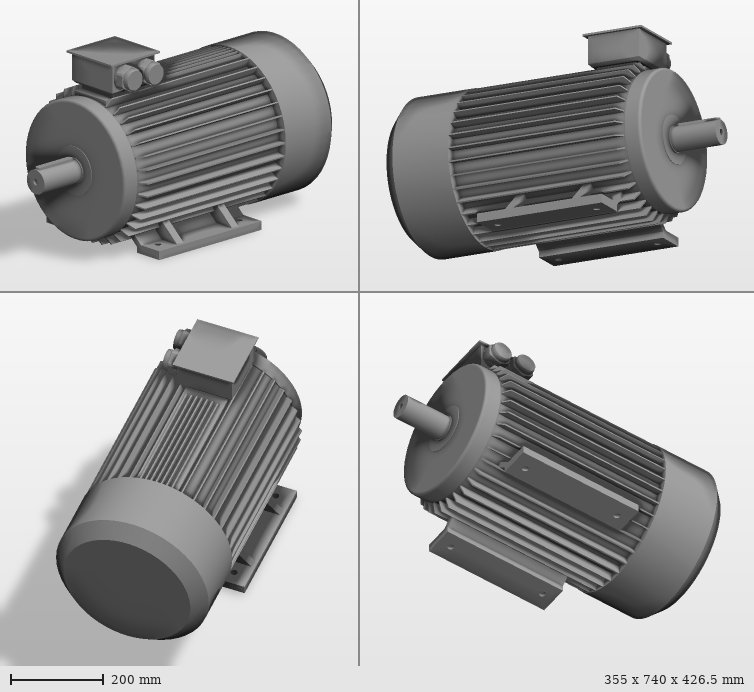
import cadquery as cq
import math


OVERLAP = 4.0

SHAFT_DIAMETER = 55.5
SHAFT_LENGTH = 110.0
CENTRE_HOLE_DIAMETER = 14.0
CENTRE_HOLE_DEPTH = 15.0
CENTRE_HOLE_TIP = 4.5
KEY_WIDTH = 15.5
KEY_LENGTH = 104.0
KEY_TOP_Z = 32.5
COLLAR_DIAMETER = 60.0
SEAL_DIAMETER = 110.0
SEAL_FACE_Y = 4.0

SHIELD_DIAMETER = 315.0
SHIELD_FACE_Y = 5.0
SHIELD_BACK_Y = 43.0
SHIELD_EDGE_RADIUS = 7.0

FRAME_DIAMETER = 310.0
COWL_DIAMETER = 355.0
COWL_FRONT_Y = 464.0
REAR_Y = 740 - SHAFT_LENGTH
COWL_BEVEL = 30.0

FIN_PITCH_ANGLE = 10
FIN_COUNT = 360 // FIN_PITCH_ANGLE
TOP_GAP_HALF_ANGLE = 15
FIN_THICKNESS = 3.3
FIN_TIP_RADIUS = 176.0
FIN_FRONT_Y = 46.5
FIN_BEVEL_LENGTH = 11.0
FIN_BEVEL_DEPTH = 17.0

PAD_WIDTH = 98.0
PAD_Z = 160.0
PAD_FRONT_Y = 52.0
PAD_FIN_PITCH = PAD_WIDTH / 8
PAD_FINS_PER_SIDE = 3
PAD_FIN_FRONT_Y = 187.0
PAD_FIN_TIP_RADIUS = 175.0
PAD_FIN_BEVEL = 9.5

BOX_CENTRE_Y = 120.0
BOX_WIDTH = 127.0
BOX_LENGTH = 125.0
BOX_BOTTOM_Z = 172.5
BOX_BEVEL = 7.0
LID_WIDTH = 142.0
LID_LENGTH = 143.5
LID_TOP_Z = 246.5
LID_THICKNESS = 4.5
PEDESTAL_LENGTH = 95.0

GLAND_SPACING = 62.0
GLAND_Z = 210.0
GLAND_NECK_DIAMETER = 55.0
GLAND_HEX_ACROSS_FLATS = 52.5
GLAND_HEX_CORNER_CUT = 3.0
GLAND_HEX_END_BEVEL = 1.5
GLAND_CAP_DIAMETER = 47.0
GLAND_HEX_START_X = 69.5
GLAND_HEX_END_X = 89.5
GLAND_END_X = 102.0
GLAND_BEVEL_LENGTH = 4.5
GLAND_BEVEL_DEPTH = 1.5

FOOT_BOTTOM_Z = -180.0
FOOT_HEIGHT = 20.0
FOOT_OUTER_X = 177.5
FOOT_INNER_X = 107.0
FOOT_CENTRE_Y = 240.5
FOOT_LENGTH = 303.5
FOOT_SLOPE = 41
WEB_INNER_DROP = 6.0
WEB_OUTER_X = 120.5
WEB_END_X = 81.5
GUSSET_OUTER_X = 169.5
GUSSET_END_X = 103.5
GUSSET_THICKNESS = 19.0
GUSSET_SPACING = 163.0
FOOT_HOLE_DIAMETER = 15.0
FOOT_HOLE_X = 140.5
FOOT_HOLE_SPACING = 241.0


def cylinder(diameter, y_start, y_end):
    """Cylinder about the shaft axis between two Y positions."""
    base = cq.Workplane("XZ", origin=(0, y_start, 0)).circle(diameter / 2)
    return base.extrude(y_start - y_end)


def block(width, length, height, centre_y, bottom_z):
    """Upright block centred on X = 0."""
    base = cq.Workplane("XY", origin=(0, centre_y, bottom_z)).rect(width, length)
    return base.extrude(height)


def make_shaft():
    shaft = cylinder(SHAFT_DIAMETER, -SHAFT_LENGTH, SHIELD_BACK_Y)
    shaft = shaft.union(cylinder(COLLAR_DIAMETER, 0, SHIELD_BACK_Y))
    shaft = shaft.union(cylinder(SEAL_DIAMETER, SEAL_FACE_Y, SHIELD_BACK_Y))

    key = (
        cq.Workplane("XY", origin=(0, -SHAFT_LENGTH / 2, 0))
        .slot2D(KEY_LENGTH, KEY_WIDTH, 90)
        .extrude(KEY_TOP_Z)
    )

    hole_radius = CENTRE_HOLE_DIAMETER / 2
    hole_end_y = CENTRE_HOLE_DEPTH - SHAFT_LENGTH
    centre_hole = (
        cq.Workplane("XY")
        .moveTo(0, -SHAFT_LENGTH)
        .lineTo(hole_radius, -SHAFT_LENGTH)
        .lineTo(hole_radius, hole_end_y)
        .lineTo(0, hole_end_y + CENTRE_HOLE_TIP)
        .close()
        .revolve(360, (0, 0, 0), (0, 1, 0))
    )
    return shaft.union(key).cut(centre_hole)


def make_housing():
    """End shield, frame and fan cowl, revolved as one profile."""
    shield_radius = SHIELD_DIAMETER / 2
    frame_radius = FRAME_DIAMETER / 2
    cowl_radius = COWL_DIAMETER / 2
    return (
        cq.Workplane("XY")
        .moveTo(0, SHIELD_FACE_Y)
        .lineTo(shield_radius - SHIELD_EDGE_RADIUS, SHIELD_FACE_Y)
        .tangentArcPoint((shield_radius, SHIELD_FACE_Y + SHIELD_EDGE_RADIUS), relative=False)
        .lineTo(shield_radius, SHIELD_BACK_Y)
        .lineTo(frame_radius, SHIELD_BACK_Y)
        .lineTo(frame_radius, COWL_FRONT_Y)
        .lineTo(cowl_radius, COWL_FRONT_Y)
        .lineTo(cowl_radius, REAR_Y - COWL_BEVEL)
        .lineTo(cowl_radius - COWL_BEVEL, REAR_Y)
        .lineTo(0, REAR_Y)
        .close()
        .revolve(360, (0, 0, 0), (0, 1, 0))
    )


def make_fin(root_z, tip_z, front_y, bevel_length, bevel_depth):
    """Fin standing up along +Z, with a bevelled front end."""
    rear_y = COWL_FRONT_Y + OVERLAP
    return (
        cq.Workplane("YZ")
        .moveTo(front_y, root_z - OVERLAP)
        .lineTo(front_y, tip_z - bevel_depth)
        .lineTo(front_y + bevel_length, tip_z)
        .lineTo(rear_y, tip_z)
        .lineTo(rear_y, root_z - OVERLAP)
        .close()
        .extrude(FIN_THICKNESS / 2, both=True)
    )


def add_radial_fins(body):
    root_z = FRAME_DIAMETER / 2
    fin = make_fin(root_z, FIN_TIP_RADIUS, FIN_FRONT_Y, FIN_BEVEL_LENGTH, FIN_BEVEL_DEPTH)
    for index in range(FIN_COUNT):
        angle = index * FIN_PITCH_ANGLE
        if min(angle, 360 - angle) > TOP_GAP_HALF_ANGLE:
            body = body.union(fin.rotate((0, 0, 0), (0, 1, 0), angle))
    return body


def add_pad(body):
    """Flat pad on top with parallel fins, each cut to the height of the tip circle."""
    pad_length = COWL_FRONT_Y - PAD_FRONT_Y
    pad = block(PAD_WIDTH, pad_length, PAD_Z, PAD_FRONT_Y + pad_length / 2, 0)
    body = body.union(pad)
    for index in range(-PAD_FINS_PER_SIDE, PAD_FINS_PER_SIDE + 1):
        fin_x = index * PAD_FIN_PITCH
        tip_z = math.sqrt(PAD_FIN_TIP_RADIUS**2 - fin_x**2)
        fin = make_fin(PAD_Z, tip_z, PAD_FIN_FRONT_Y, PAD_FIN_BEVEL, PAD_FIN_BEVEL)
        body = body.union(fin.translate((fin_x, 0, 0)))
    return body


def make_gland(centre_y):
    """Cable gland pointing to +X: round neck, hexagon and round cap."""
    plane = cq.Workplane("YZ", origin=(0, centre_y, GLAND_Z))
    inner_x = BOX_WIDTH / 2 - OVERLAP
    neck = plane.workplane(offset=inner_x).circle(GLAND_NECK_DIAMETER / 2)
    neck = neck.extrude(GLAND_HEX_START_X + OVERLAP - inner_x)

    corner_to_corner = GLAND_HEX_ACROSS_FLATS / math.cos(math.radians(30))
    hexagon = (
        plane.workplane(offset=GLAND_HEX_START_X)
        .polygon(6, corner_to_corner)
        .extrude(GLAND_HEX_END_X - GLAND_HEX_START_X)
        .edges("|X")
        .chamfer(GLAND_HEX_CORNER_CUT)
        .faces(">X")
        .chamfer(GLAND_HEX_END_BEVEL)
        .rotate((0, centre_y, GLAND_Z), (1, centre_y, GLAND_Z), 90)
    )

    cap = plane.workplane(offset=inner_x).circle(GLAND_CAP_DIAMETER / 2)
    cap = cap.extrude(GLAND_END_X - inner_x)
    cap = cap.faces(">X").chamfer(GLAND_BEVEL_LENGTH, GLAND_BEVEL_DEPTH)
    return neck.union(hexagon).union(cap)


def make_terminal_box():
    lid_bottom_z = LID_TOP_Z - LID_THICKNESS
    box = block(BOX_WIDTH, BOX_LENGTH, lid_bottom_z - BOX_BOTTOM_Z, BOX_CENTRE_Y, BOX_BOTTOM_Z)
    box = box.faces("<Z").chamfer(BOX_BEVEL)
    box = box.union(block(LID_WIDTH, LID_LENGTH, LID_THICKNESS, BOX_CENTRE_Y, lid_bottom_z))

    pedestal_bottom_z = PAD_Z - OVERLAP
    pedestal_height = BOX_BOTTOM_Z - pedestal_bottom_z
    pedestal = block(PAD_WIDTH, PEDESTAL_LENGTH, pedestal_height, BOX_CENTRE_Y, pedestal_bottom_z)
    box = box.union(pedestal)

    for side in (-1, 1):
        box = box.union(make_gland(BOX_CENTRE_Y + side * GLAND_SPACING / 2))
    return box


def make_sloped_wall(outline, thickness, centre_y):
    """Wall of the given XZ outline, centred on one Y position."""
    wall = cq.Workplane("XZ", origin=(0, centre_y, 0)).polyline(outline).close()
    return wall.extrude(thickness / 2, both=True)


def make_foot():
    """Foot on the +X side: plate, sloped web along it and two gussets on the web."""
    top_z = FOOT_BOTTOM_Z + FOOT_HEIGHT
    width = FOOT_OUTER_X - FOOT_INNER_X
    foot = block(width, FOOT_LENGTH, FOOT_HEIGHT, FOOT_CENTRE_Y, FOOT_BOTTOM_Z)
    foot = foot.translate((FOOT_INNER_X + width / 2, 0, 0))

    def rise_to(end_x, start_x):
        """Height gained along the slope between two X positions."""
        return (start_x - end_x) * math.tan(math.radians(FOOT_SLOPE))

    under_start = (FOOT_INNER_X, top_z - WEB_INNER_DROP)
    under_end = (WEB_END_X, top_z - WEB_INNER_DROP + rise_to(WEB_END_X, FOOT_INNER_X))
    web_outline = [
        under_start,
        (WEB_OUTER_X, under_start[1]),
        (WEB_OUTER_X, top_z),
        (WEB_END_X, top_z + rise_to(WEB_END_X, WEB_OUTER_X)),
        under_end,
    ]
    foot = foot.union(make_sloped_wall(web_outline, FOOT_LENGTH, FOOT_CENTRE_Y))

    gusset_outline = [
        under_start,
        (GUSSET_OUTER_X, under_start[1]),
        (GUSSET_OUTER_X, top_z),
        (GUSSET_END_X, top_z + rise_to(GUSSET_END_X, GUSSET_OUTER_X)),
        under_end,
    ]
    for side in (-1, 1):
        gusset_y = FOOT_CENTRE_Y + side * GUSSET_SPACING / 2
        foot = foot.union(make_sloped_wall(gusset_outline, GUSSET_THICKNESS, gusset_y))

    holes = (
        cq.Workplane("XY", origin=(FOOT_HOLE_X, FOOT_CENTRE_Y, FOOT_BOTTOM_Z))
        .rarray(7.5, FOOT_HOLE_SPACING, 1, 2)
        .circle(FOOT_HOLE_DIAMETER / 2)
        .extrude(FOOT_HEIGHT)
    )
    return foot.cut(holes)


result = add_pad(add_radial_fins(make_housing()))
result = result.union(make_shaft()).union(make_terminal_box())
right_foot = make_foot()
result = result.union(right_foot).union(right_foot.mirror("YZ"))